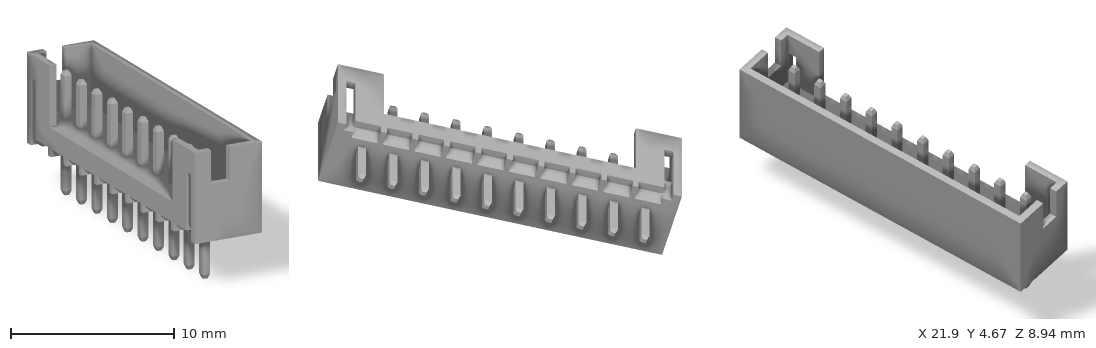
import cadquery as cq


length = 21.86
depth = 4.67
height = 5.9
wall = 0.48
floor_top = 1.88
front_y = -depth / 2

pin_count = 10
pitch = 2.0
pin_size = 0.5
pin_top = 5.0
pin_bottom = -3.04
tip_height = 0.29
tip_inset = 0.115
pin_setback = 1.7
pin_y = front_y + pin_setback
pin_xs = [(i - (pin_count - 1) / 2) * pitch for i in range(pin_count)]

corner_return = 2.93

end_notch_setback = 1.12
end_notch_front = front_y + end_notch_setback
end_notch_width = 1.31
end_notch_depth = 2.18

relief_width = 1.64
relief_height = 0.54
relief_slope_run = 0.44

slot_start = 0.53
slot_end = (length - (pin_count - 1) * pitch - relief_width) / 2
slot_top = 4.35


def block(x_range, y_range, z_range):
    """Box spanning the given (low, high) range on each axis."""
    low = (x_range[0], y_range[0], z_range[0])
    size = [r[1] - r[0] for r in (x_range, y_range, z_range)]
    return cq.Workplane("XY").box(*size, centered=False).translate(low)


def make_shell():
    """Open-topped box with a thick floor."""
    half_length = length / 2
    outer = block((-half_length, half_length), (front_y, -front_y), (0, height))
    cavity = block(
        (-half_length + wall, half_length - wall),
        (front_y + wall, -front_y - wall),
        (floor_top, height),
    )
    return outer.cut(cavity)


def front_opening():
    """Wide opening through the front wall, down to the floor."""
    half_width = length / 2 - corner_return
    return block((-half_width, half_width), (front_y, front_y + wall), (floor_top, height))


def end_notches():
    """Notch through the top of both end walls."""
    return block(
        (-length / 2, length / 2),
        (end_notch_front, end_notch_front + end_notch_width),
        (height - end_notch_depth, height),
    )


def front_slot(side):
    """Slot as deep as the front wall, open at the underside; side is -1 or 1."""
    edges = sorted(side * (length / 2 - offset) for offset in (slot_start, slot_end))
    return block(edges, (front_y, front_y + wall), (0, slot_top))


def relief(x):
    """Notch with a sloped rear face, removed from the lower front edge at one pin."""
    slope_start = front_y + wall
    profile = [
        (front_y, 0),
        (front_y, relief_height),
        (slope_start, relief_height),
        (slope_start + relief_slope_run, 0),
    ]
    return (
        cq.Workplane("YZ")
        .polyline(profile)
        .close()
        .extrude(relief_width / 2, both=True)
        .translate((x, 0, 0))
    )


def pin_tip(x, base_z, end_z):
    """Tapered square tip from base_z to end_z."""
    tip_size = pin_size - 2 * tip_inset
    return (
        cq.Workplane("XY", origin=(x, pin_y, base_z))
        .rect(pin_size, pin_size)
        .workplane(offset=end_z - base_z)
        .rect(tip_size, tip_size)
        .loft()
    )


def make_pin(x):
    """Square pin running through the floor, tapered at both ends."""
    half = pin_size / 2
    shank_bottom = pin_bottom + tip_height
    shank_top = pin_top - tip_height
    shank = block((x - half, x + half), (pin_y - half, pin_y + half), (shank_bottom, shank_top))
    upper_tip = pin_tip(x, shank_top, pin_top)
    lower_tip = pin_tip(x, shank_bottom, pin_bottom)
    return shank.union(upper_tip).union(lower_tip)


result = make_shell().cut(front_opening()).cut(end_notches())
for side in (-1, 1):
    result = result.cut(front_slot(side))
for x in pin_xs:
    result = result.cut(relief(x))
for x in pin_xs:
    result = result.union(make_pin(x))